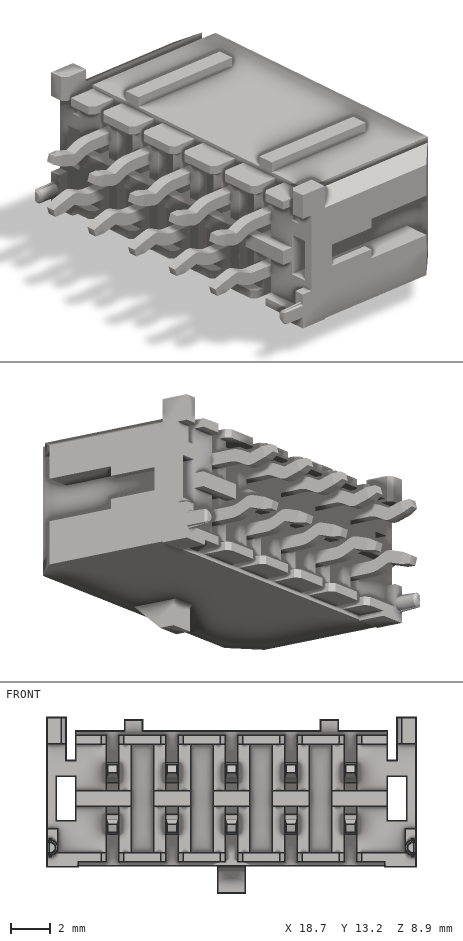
import cadquery as cq
import math


half_length = 9.35
half_core = 7.9
depth = 10.0
body_top = 6.83
middle_z = 3.4
corner_chamfer = half_length - half_core
plate_y = 1.51
comb_y = 0.6
over = 0.19

groove_width = 0.49
groove_floor = 5.33
flank_x = half_core + groove_width
flank_outer_top = 6.28
window_width = 0.97
window_height = 2.25
slot_height = 1.22
wide_slot_y = 4.73
narrow_slot_y = 2.0
end_notch_bottom = 0.73
end_notch_top = 6.08

ear_bottom = 6.17
ear_top = 7.52
edge_chamfer = 0.25
shelf_thickness = 0.45
top_shelf_z = 6.6
bottom_shelf_z = 0.2
bar_height = 0.79
relief_width = 1.15
relief_depth = 0.62
foot_bottom = -0.05
foot_length = 1.59
foot_top = bottom_shelf_z + shelf_thickness
foot_block_width = 0.56
foot_block_top = 1.87

peg_radius = 0.37
peg_z = 0.92
peg_inset = 0.178
peg_length = 1.22
peg_chamfer = 0.11
peg_rib_width = 0.11
peg_rib_root = 0.45
peg_rib_end = 0.37

rib_x = 4.95
rib_width = 0.92
rib_back_y = 8.0
rib_top = 7.39
latch_width = 1.4
latch_bottom = -1.38
latch_front_y = 7.01
latch_nose_y = 7.85
latch_back_y = 9.46
latch_fillet = 0.22

pin_count = 5
pin_pitch = 3.01
row_pitch = 3.0
pin_size = 0.64
pin_bend_y = -0.56
first_bend_radius = 1.5
dip_bend_radius = 0.35
dip_angle = math.radians(25)
rise_angle = math.radians(16.5)
pin_dip = 0.37
tip_y = -2.62
tip_end_y = -3.1
tip_width = 0.49
tip_thickness = 0.43

pin_xs = [(i - (pin_count - 1) / 2) * pin_pitch for i in range(pin_count)]
row_heights = (middle_z + row_pitch / 2, middle_z - row_pitch / 2)


def box(x0, x1, y0, y1, z0, z1):
    """Axis-aligned block between two opposite corners."""
    return cq.Workplane("XY").box(x1 - x0, y1 - y0, z1 - z0, centered=False).translate((x0, y0, z0))


def both_ends(shape):
    """A shape on the -X end together with its mirror image on the +X end."""
    return shape.union(shape.mirror("YZ"))


def make_body():
    """Housing block with bevelled rear corners and sloping flank tops."""
    block = box(-half_length, half_length, comb_y, depth, 0, body_top)
    block = block.edges("|Z and >Y").chamfer(corner_chamfer)
    slope = (
        cq.Workplane("XZ")
        .moveTo(-flank_x, body_top)
        .lineTo(-half_length, flank_outer_top)
        .lineTo(-half_length, body_top)
        .close()
        .extrude(-depth)
    )
    return block.cut(both_ends(slope))


def flank_cuts():
    """Groove, through window, stepped side slot and rear notch of one end flank."""
    outside = -half_length - over
    behind = depth + over
    window_bottom = middle_z - window_height / 2
    window_top = middle_z + window_height / 2
    slot_bottom = middle_z - slot_height / 2
    groove = box(-flank_x, -half_core, -over, behind, groove_floor, body_top + over)
    window = box(-half_core - window_width, -half_core, -over, behind, window_bottom, window_top)
    wide_slot = box(outside, -half_core, wide_slot_y, behind, window_bottom, window_top)
    narrow_slot = box(outside, -half_core, narrow_slot_y, behind, slot_bottom, slot_bottom + slot_height)
    notch = box(outside, -half_core, depth - corner_chamfer, behind, end_notch_bottom, end_notch_top)
    return groove.union(window).union(wide_slot).union(narrow_slot).union(notch)


def comb_cuts():
    """Pin slots and the steps above and below the shelves."""
    cuts = box(-half_core, half_core, -over, plate_y, top_shelf_z, body_top + over)
    under_half = half_length - foot_length
    cuts = cuts.union(box(-under_half, under_half, -over, plate_y, -over, bottom_shelf_z))
    for x in pin_xs:
        slot = box(x - pin_size / 2, x + pin_size / 2, -over, plate_y, -over, body_top)
        cuts = cuts.union(slot)
    return cuts


def make_shelves():
    """Upper and lower rows of shelves, chamfered beside every pin slot."""
    shelves = cq.Workplane("XY")
    shelf_bounds = [-half_core] + pin_xs + [half_core]
    last = len(shelf_bounds) - 2
    for i in range(len(shelf_bounds) - 1):
        x0 = shelf_bounds[i] + (pin_size / 2 if i > 0 else 0)
        x1 = shelf_bounds[i + 1] - (pin_size / 2 if i < last else 0)
        for z0 in (bottom_shelf_z, top_shelf_z - shelf_thickness):
            shelf = box(x0, x1, 0, plate_y, z0, z0 + shelf_thickness)
            if i > 0:
                shelf = shelf.edges("|Z and <Y and <X").chamfer(edge_chamfer)
            if i < last:
                shelf = shelf.edges("|Z and <Y and >X").chamfer(edge_chamfer)
            shelves = shelves.add(shelf)
    return shelves.combine()


def make_bar():
    """Horizontal bar between the pin rows."""
    return box(-half_core, half_core, 0, plate_y, middle_z - bar_height / 2, middle_z + bar_height / 2)


def relief_cuts():
    """Upright reliefs between neighbouring pins, which also interrupt the bar."""
    cuts = cq.Workplane("XY")
    for x in pin_xs[:-1]:
        centre = x + pin_pitch / 2
        relief = box(
            centre - relief_width / 2, centre + relief_width / 2,
            -over, comb_y + relief_depth,
            foot_top, top_shelf_z - shelf_thickness,
        )
        cuts = cuts.add(relief)
    return cuts.combine()


def make_end_details():
    """Upper ear, foot and foot block of one end."""
    ear = box(-half_length, -flank_x, 0, plate_y, ear_bottom, ear_top)
    ear = ear.edges("|Z and <Y and >X").chamfer(edge_chamfer)
    foot = box(-half_length, -half_length + foot_length, 0, plate_y, foot_bottom, foot_top)
    foot_block = box(-half_length, -half_length + foot_block_width, 0, plate_y, 0, foot_block_top)
    return ear.union(foot).union(foot_block)


def make_peg():
    """Round peg with a tapered crush rib, cut flush with the end of the housing."""
    axis = -half_length + peg_inset
    peg = cq.Workplane("XZ").center(axis, peg_z).circle(peg_radius).extrude(peg_length)
    rib = (
        cq.Workplane("YZ")
        .moveTo(0, peg_z - peg_rib_root)
        .lineTo(-peg_length, peg_z - peg_rib_end)
        .lineTo(-peg_length, peg_z + peg_rib_end)
        .lineTo(0, peg_z + peg_rib_root)
        .close()
        .extrude(peg_rib_width / 2, both=True)
        .faces("<Y").edges("|X").chamfer(peg_chamfer)
        .translate((axis, 0, 0))
    )
    outside = box(-2 * half_length, -half_length, -2 * peg_length, 0, 0, body_top)
    peg = peg.cut(outside).faces("<Y").chamfer(peg_chamfer)
    return peg.union(rib)


def make_pin():
    """Square pin along -Y, dipping towards -Z and rising again to a tapered tip."""
    slope_start_y = pin_bend_y - first_bend_radius * math.sin(dip_angle)
    slope_start_z = -first_bend_radius * (1 - math.cos(dip_angle))
    slope_end_z = -pin_dip + dip_bend_radius * (1 - math.cos(dip_angle))
    slope_end_y = slope_start_y - (slope_start_z - slope_end_z) / math.tan(dip_angle)
    dip_y = slope_end_y - dip_bend_radius * math.sin(dip_angle)
    rise_y = dip_y - dip_bend_radius * math.sin(rise_angle)
    rise_z = -pin_dip + dip_bend_radius * (1 - math.cos(rise_angle))
    tip_z = rise_z + (rise_y - tip_y) * math.tan(rise_angle)
    half_bend = dip_angle / 2
    path = (
        cq.Workplane("YZ")
        .moveTo(plate_y + over, 0)
        .lineTo(pin_bend_y, 0)
        .threePointArc(
            (
                pin_bend_y - first_bend_radius * math.sin(half_bend),
                -first_bend_radius * (1 - math.cos(half_bend)),
            ),
            (slope_start_y, slope_start_z),
        )
        .lineTo(slope_end_y, slope_end_z)
        .threePointArc((dip_y, -pin_dip), (rise_y, rise_z))
        .lineTo(tip_y, tip_z)
    )
    shank = (
        cq.Workplane("XZ", origin=(0, plate_y + over, 0))
        .rect(pin_size, pin_size)
        .sweep(path)
    )
    tip_direction = (0, -math.cos(rise_angle), math.sin(rise_angle))
    tip_length = (tip_y - tip_end_y) / math.cos(rise_angle)
    tip = (
        cq.Workplane(cq.Plane((0, tip_y, tip_z), (1, 0, 0), tip_direction))
        .rect(pin_size, pin_size)
        .workplane(offset=tip_length)
        .rect(tip_width, tip_thickness)
        .loft()
    )
    return shank.union(tip)


def make_ribs():
    """Pair of straight ribs on the top of the housing."""
    inner = rib_x - rib_width / 2
    outer = rib_x + rib_width / 2
    return both_ends(box(-outer, -inner, plate_y, rib_back_y, body_top - over, rib_top))


def make_latch():
    """Ramped latch under the housing, with a concave fillet at its steep face."""
    inside = latch_fillet * math.sqrt(0.5)
    return (
        cq.Workplane("YZ")
        .moveTo(latch_back_y, 0)
        .lineTo(latch_nose_y, latch_bottom)
        .lineTo(latch_front_y, latch_bottom)
        .lineTo(latch_front_y, -latch_fillet)
        .threePointArc(
            (latch_front_y - latch_fillet + inside, -latch_fillet + inside),
            (latch_front_y - latch_fillet, 0),
        )
        .lineTo(latch_front_y - latch_fillet, over)
        .lineTo(latch_back_y, over)
        .close()
        .extrude(latch_width / 2, both=True)
    )


housing = make_body().cut(both_ends(flank_cuts())).cut(comb_cuts())
housing = housing.union(make_shelves()).union(make_bar()).cut(relief_cuts())
housing = housing.union(both_ends(make_end_details())).union(both_ends(make_peg()))
housing = housing.union(make_ribs()).union(make_latch())

upper_pin = make_pin()
lower_pin = upper_pin.mirror("XY")
for pin_x in pin_xs:
    housing = housing.union(upper_pin.translate((pin_x, 0, row_heights[0])))
    housing = housing.union(lower_pin.translate((pin_x, 0, row_heights[1])))

result = housing